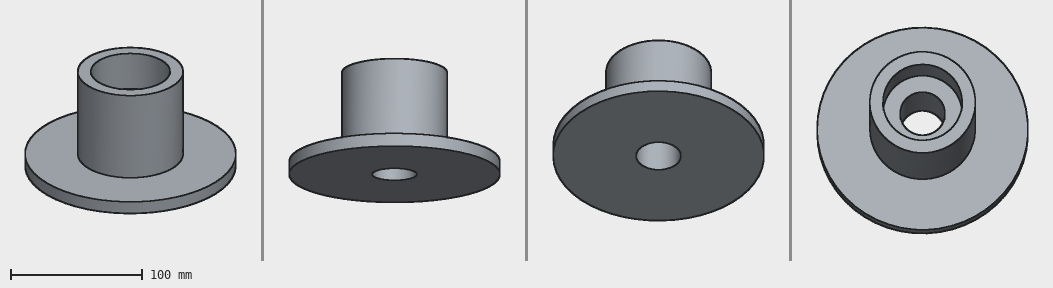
import cadquery as cq

flange_diameter = 160.0
flange_thickness = 10.0

hub_diameter = 80.0
total_height = 80.0

recess_diameter = 60.0
recess_depth = 30.0
through_hole_diameter = 34.0


def cylinder(diameter, bottom, top):
    """Cylinder on the Z axis between two heights."""
    return cq.Workplane("XY").workplane(offset=bottom).circle(diameter / 2).extrude(top - bottom)


flange = cylinder(flange_diameter, 0, flange_thickness)
hub = cylinder(hub_diameter, 0, total_height)
recess = cylinder(recess_diameter, total_height - recess_depth, total_height)
through_hole = cylinder(through_hole_diameter, 0, total_height)

result = flange.union(hub).cut(recess).cut(through_hole)